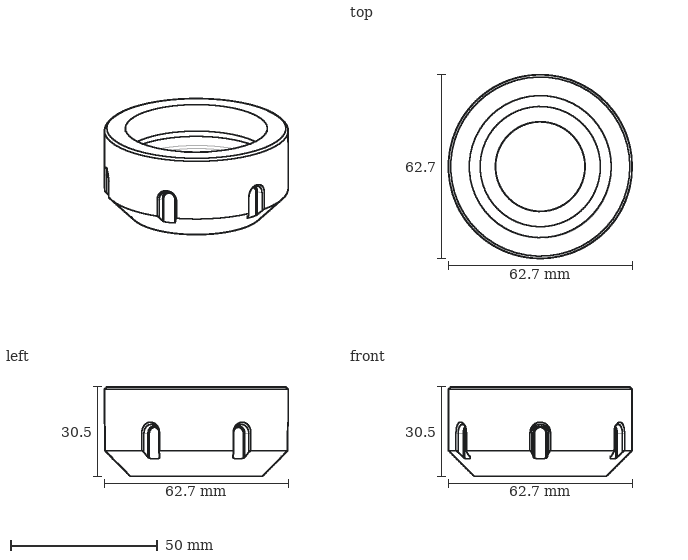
import cadquery as cq

height = 30.5
outer_radius = 31.35
nose_height = 8.8
base_radius = outer_radius - nose_height
rim_chamfer = 0.8

bore_radius = 48.4 / 2
bore_depth = 9.6
relief_radius = 50.5 / 2
relief_taper_depth = 2.25
relief_fillet = 0.8
ledge_depth = 15.85
seat_radius = 41.0 / 2
seat_depth = 2.0
opening_radius = 30.5 / 2

slot_count = 6
slot_center_z = 14.75
slot_floor_distance = 28.6
slot_floor_half_width = 1.95
slot_floor_chamfer = 0.4
slot_wall_top_distance = 30.6
slot_wall_half_width = 2.95
slot_clearance = 0.6


def make_body():
    return (
        cq.Workplane("XZ")
        .polyline([
            (0, 0),
            (base_radius, 0),
            (outer_radius, nose_height),
            (outer_radius, height - rim_chamfer),
            (outer_radius - rim_chamfer, height),
            (0, height),
        ])
        .close()
        .revolve(360, (0, 0, 0), (0, 1, 0))
    )


def make_bore():
    lip_z = height - bore_depth
    ledge_z = height - ledge_depth
    arc_middle = relief_fillet * (1 - 0.5 ** 0.5)
    return (
        cq.Workplane("XZ")
        .moveTo(0, height)
        .lineTo(bore_radius, height)
        .lineTo(bore_radius, lip_z)
        .lineTo(relief_radius, lip_z - relief_taper_depth)
        .lineTo(relief_radius, ledge_z + relief_fillet)
        .threePointArc(
            (relief_radius - arc_middle, ledge_z + arc_middle),
            (relief_radius - relief_fillet, ledge_z),
        )
        .lineTo(seat_radius, ledge_z)
        .lineTo(seat_radius, ledge_z - seat_depth)
        .lineTo(opening_radius, 0)
        .lineTo(0, 0)
        .close()
        .revolve(360, (0, 0, 0), (0, 1, 0))
    )


def make_slot():
    """Slot on the -Y side: floor chamfer, drafted wall and a 45 degree flare at the mouth."""
    mouth_distance = outer_radius + slot_clearance
    mouth_half_width = slot_wall_half_width + mouth_distance - slot_wall_top_distance
    half_section = [
        (slot_floor_half_width, -slot_floor_distance),
        (slot_floor_half_width + slot_floor_chamfer, -slot_floor_distance - slot_floor_chamfer),
        (slot_wall_half_width, -slot_wall_top_distance),
        (mouth_half_width, -mouth_distance),
    ]
    mirrored_section = [(-x, y) for x, y in reversed(half_section)]
    section_plane = cq.Workplane("XY", origin=(0, 0, slot_center_z))
    channel = (
        section_plane.polyline(half_section + mirrored_section)
        .close()
        .extrude(-slot_center_z)
    )
    round_end = (
        section_plane.polyline([(0, -slot_floor_distance)] + half_section + [(0, -mouth_distance)])
        .close()
        .revolve(360, (0, 0, 0), (0, 1, 0))
    )
    return channel.union(round_end)


result = make_body().cut(make_bore())
slot = make_slot()
for index in range(slot_count):
    angle = index * 360 / slot_count
    result = result.cut(slot.rotate((0, 0, 0), (0, 0, 1), angle))